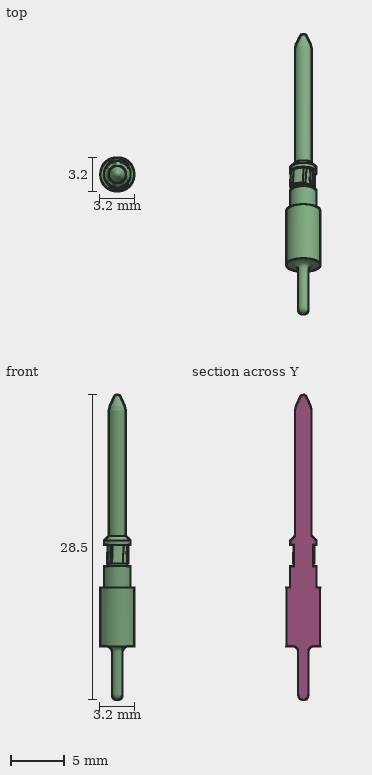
import cadquery as cq
import math

total_height = 28.5
tail_root_z = 4.5
body_bottom_z = 5.02
body_top_z = 10.52
sleeve_top_z = 12.5
wing_bottom_z = 12.77
collar_bottom_z = 14.48
collar_edge_z = 14.88
collar_top_z = 15.33
shoulder_z = 27.02
nose_base_z = 27.42
nose_end_z = 28.3

tail_radius = 1.0 / 2
body_radius = 3.2 / 2
sleeve_radius = 2.5 / 2
neck_radius = 1.82 / 2
shaft_radius = 1.6 / 2
nose_base_radius = 0.7
nose_end_radius = 0.3

dome_height = total_height - nose_end_z
dome_radius = (nose_end_radius ** 2 + dome_height ** 2) / (2 * dome_height)
dome_mid_x = nose_end_radius / 2
dome_mid_z = total_height - dome_radius + math.sqrt(dome_radius ** 2 - dome_mid_x ** 2)

root_fillet = body_bottom_z - tail_root_z
diagonal = math.sqrt(0.5)

clearance_top_radius = neck_radius
clearance_bottom_radius = 1.1

wing_bottom_outline = [
    (-0.97, 0.55), (-0.65, 1.23), (-0.48, 1.45), (0.15, 1.48), (0.55, 1.4), (0.9, 1.17), (1.05, 0.55),
]
wing_top_outline = [
    (-0.9, 0.65), (-0.65, 0.85), (-0.43, 1.0), (0.17, 1.05), (0.57, 1.0), (0.9, 0.83), (1.05, 0.65),
]


def make_pin():
    """Revolve the stepped pin with its round lower tip and tapered nose."""
    profile = (
        cq.Workplane("XZ")
        .moveTo(0, 0)
        .threePointArc((tail_radius * diagonal, tail_radius * (1 - diagonal)), (tail_radius, tail_radius))
        .lineTo(tail_radius, tail_root_z)
        .threePointArc(
            (tail_radius + root_fillet * (1 - diagonal), tail_root_z + root_fillet * diagonal),
            (tail_radius + root_fillet, body_bottom_z),
        )
        .lineTo(body_radius, body_bottom_z)
        .lineTo(body_radius, body_top_z)
        .lineTo(sleeve_radius, body_top_z)
        .lineTo(sleeve_radius, sleeve_top_z)
        .lineTo(neck_radius, sleeve_top_z)
        .lineTo(neck_radius, collar_bottom_z)
        .lineTo(sleeve_radius, collar_bottom_z)
        .lineTo(sleeve_radius, collar_edge_z)
        .lineTo(shaft_radius, collar_top_z)
        .lineTo(shaft_radius, shoulder_z)
        .lineTo(nose_base_radius, nose_base_z)
        .lineTo(nose_end_radius, nose_end_z)
        .threePointArc((dome_mid_x, dome_mid_z), (0, total_height))
        .close()
    )
    return profile.revolve(360, (0, 0, 0), (0, 1, 0))


def make_clearance():
    """Conical space between the neck and the wings."""
    return (
        cq.Workplane("XZ")
        .moveTo(0, wing_bottom_z)
        .lineTo(clearance_bottom_radius, wing_bottom_z)
        .lineTo(clearance_top_radius, collar_bottom_z)
        .lineTo(0, collar_bottom_z)
        .close()
        .revolve(360, (0, 0, 0), (0, 1, 0))
    )


def make_wing(side):
    """Faceted spring wing hanging from the collar, on the +Y (1) or -Y (-1) side."""
    bottom = [(x, side * y) for x, y in wing_bottom_outline]
    top = [(x, side * y) for x, y in wing_top_outline]
    return (
        cq.Workplane("XY")
        .workplane(offset=wing_bottom_z)
        .polyline(bottom)
        .close()
        .workplane(offset=collar_bottom_z - wing_bottom_z)
        .polyline(top)
        .close()
        .loft(ruled=True)
        .cut(make_clearance())
    )


result = make_pin()
for side in (-1, 1):
    result = result.union(make_wing(side))